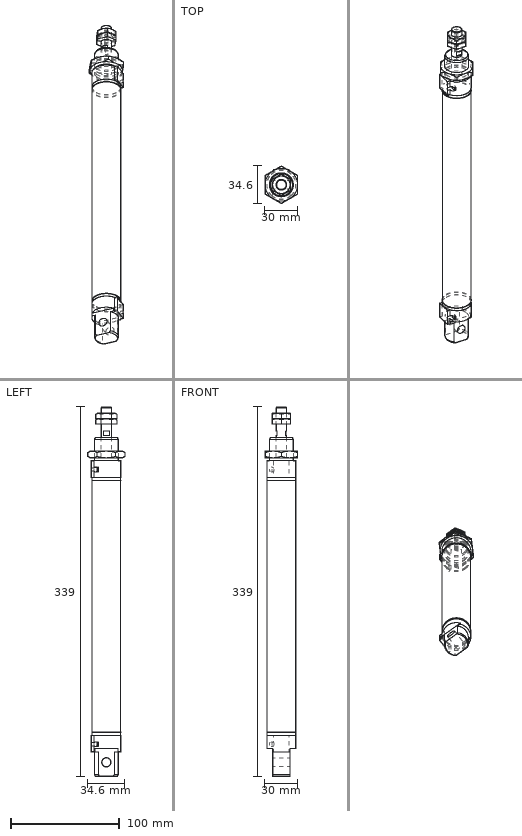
import cadquery as cq
import math

total_length = 339.0

rod_diameter = 10.0
rod_tip_diameter = 8.8
rod_flat_width = 8.0
rod_flat_height = 4.0
rod_flat_gap = 1.7

nose_diameter = 22.0
nose_top = 311.2
nose_tip_diameter = 20.5
nose_chamfer_height = 1.7

tube_diameter = 26.5
cap_diameter = 26.8
cap_length = 15.3
front_cap_top = 290.0
rear_cap_bottom = 22.5
collar_gap = 2.7
collar_width = 0.5

boss_width = 14.2
boss_reach = 14.0

screw_hole_diameter = 4.5
screw_hole_height = 7.0
screw_hole_offset = 8.8
screw_hole_floor = 7.0

tongue_width = 16.3
tongue_flat_top = 25.5
eye_diameter = 8.0
eye_height = 13.0

rod_nut_width = 17.0
rod_nut_chamfer_diameter = 16.0
rod_nut_height = 5.0
rod_nut_count = 2
rod_nuts_bottom = 323.5
mounting_nut_width = 30.0
mounting_nut_chamfer_diameter = mounting_nut_width
mounting_nut_height = 6.0
mounting_nut_bottom = 292.5
nut_chamfer_angle = 30.0
hexagon_sides = 6


def cylinder(diameter, bottom, top):
    return cq.Workplane("XY").workplane(offset=bottom).circle(diameter / 2).extrude(top - bottom)


def hex_nut(width, chamfer_diameter, height, bottom, bore, chamfer_underside):
    """A hexagon nut with two flats facing +X and -X, its corners turned off at a shallow angle."""
    hexagon_turn = 180 / hexagon_sides
    corner_radius = width / 2 / math.cos(math.radians(hexagon_turn))
    chamfer_radius = chamfer_diameter / 2
    drop = (corner_radius - chamfer_radius) * math.tan(math.radians(nut_chamfer_angle))
    blank = (
        cq.Workplane("XY")
        .polygon(hexagon_sides, 2 * corner_radius)
        .extrude(height)
        .rotate((0, 0, 0), (0, 0, 1), hexagon_turn)
    )
    underside = [(corner_radius, 0)]
    if chamfer_underside:
        underside = [(chamfer_radius, 0), (corner_radius, drop)]
    turned = (
        cq.Workplane("XZ")
        .polyline([(0, 0), *underside, (corner_radius, height - drop), (chamfer_radius, height), (0, height)])
        .close()
        .revolve(360, (0, 0, 0), (0, 1, 0))
    )
    nut = blank.intersect(turned).translate((0, 0, bottom))
    return nut.cut(cylinder(bore, bottom, bottom + height))


def end_cap(bottom):
    """A cap with its port boss and the screw hole that breaks out beside the boss."""
    boss = (
        cq.Workplane("XY")
        .workplane(offset=bottom)
        .center(0, boss_reach / 2)
        .rect(boss_width, boss_reach)
        .extrude(cap_length)
    )
    screw_hole = (
        cq.Workplane("XZ", origin=(-screw_hole_offset, screw_hole_floor, bottom + screw_hole_height))
        .circle(screw_hole_diameter / 2)
        .extrude(-boss_reach)
    )
    return cylinder(cap_diameter, bottom, bottom + cap_length).union(boss).cut(screw_hole)


def collared_tube(bottom, top):
    """The tube with a thin collar standing off from each of its ends."""
    tube = cylinder(tube_diameter, bottom, top)
    for collar_bottom in (bottom + collar_gap, top - collar_gap - collar_width):
        tube = tube.union(cylinder(cap_diameter, collar_bottom, collar_bottom + collar_width))
    return tube


def make_housing():
    front_cap_bottom = front_cap_top - cap_length
    rear_cap_top = rear_cap_bottom + cap_length

    housing = cylinder(nose_diameter, 0, nose_top)
    housing = housing.faces("<Z or >Z").chamfer(nose_chamfer_height, (nose_diameter - nose_tip_diameter) / 2)
    housing = housing.union(collared_tube(rear_cap_top, front_cap_bottom))
    for cap_bottom in (front_cap_bottom, rear_cap_bottom):
        housing = housing.union(end_cap(cap_bottom))

    for side in (-1, 1):
        tongue_flat = (
            cq.Workplane("XY")
            .center(side * (tongue_width + cap_diameter) / 2, 0)
            .rect(cap_diameter, 2 * cap_diameter)
            .extrude(tongue_flat_top)
        )
        housing = housing.cut(tongue_flat)
    eye = (
        cq.Workplane("YZ")
        .center(0, eye_height)
        .circle(eye_diameter / 2)
        .extrude(cap_diameter, both=True)
    )
    rod_bore = cylinder(rod_diameter, front_cap_top, nose_top)
    return housing.cut(eye).cut(rod_bore)


def make_rod():
    rod = cylinder(rod_diameter, front_cap_top, total_length)
    rod = rod.faces(">Z").chamfer((rod_diameter - rod_tip_diameter) / 2)
    for side in (-1, 1):
        flat = (
            cq.Workplane("XY")
            .workplane(offset=nose_top + rod_flat_gap)
            .center(side * (rod_flat_width + rod_diameter) / 2, 0)
            .rect(rod_diameter, 2 * rod_diameter)
            .extrude(rod_flat_height)
        )
        rod = rod.cut(flat)
    return rod


housing = make_housing()
rod = make_rod()
mounting_nut = hex_nut(
    width=mounting_nut_width,
    chamfer_diameter=mounting_nut_chamfer_diameter,
    height=mounting_nut_height,
    bottom=mounting_nut_bottom,
    bore=nose_diameter,
    chamfer_underside=True,
)
rod_nuts = []
for index in range(rod_nut_count):
    rod_nut = hex_nut(
        width=rod_nut_width,
        chamfer_diameter=rod_nut_chamfer_diameter,
        height=rod_nut_height,
        bottom=rod_nuts_bottom + index * rod_nut_height,
        bore=rod_diameter,
        chamfer_underside=False,
    )
    rod_nuts.append(rod_nut.val())

result = cq.Compound.makeCompound([housing.val(), rod.val(), mounting_nut.val(), *rod_nuts])